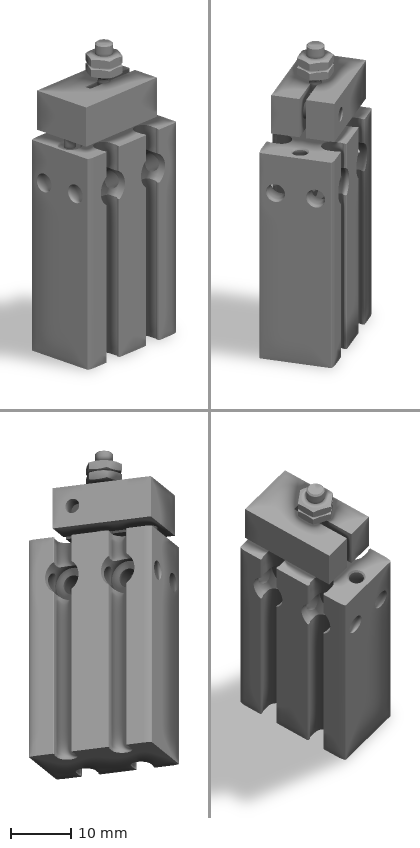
import cadquery as cq
import math

BODY_WIDTH = 13.0
BODY_LENGTH = 22.0
BODY_HEIGHT = 38.0
SIDE_ROUND_RADIUS = 3.5
SIDE_ROUND_LENGTH = 1.3
CORNER_FILLET = 0.2

GROOVE_SPACING = 9.85
GROOVE_RADIUS = 1.75
GROOVE_MOUTH_WIDTH = 3.15
GROOVE_MOUTH_BEVEL = 0.1
GROOVE_LIP_DEPTH = 0.5
GROOVE_SHOULDER_DEPTH = 0.75
GROOVE_CENTRE_DEPTH = 2.15

MOUNT_HEIGHT = 31.0
MOUNT_DIAMETER = 3.3
END_HOLE_SPACING = 7.0
SIDE_HOLE_SPACING = 10.0
COUNTERBORE_DIAMETER = 6.0
COUNTERBORE_DEPTH = 5.0

PORT_Y = 8.55
PORT_DIAMETER = 2.5
PORT_DEPTH = 5.0
RIM_CHAMFER = 0.25

PIN_Y = -8.5
PIN_DIAMETER = 2.0
PIN_INSERTION = 7.0
RECESS_DIAMETER = 3.6
RECESS_DEPTH = RIM_CHAMFER

BLOCK_WIDTH = 11.0
BLOCK_BACK_Y = 7.0
BLOCK_FRONT_Y = -10.55
BLOCK_TOP = 47.0
BLOCK_HEIGHT = 7.1
BLOCK_BOTTOM = BLOCK_TOP - BLOCK_HEIGHT
SLIT_WIDTH = 1.2
SLIT_FRONT_Y = -4.0

SCREW_Y = 3.5
SCREW_Z = (BLOCK_BOTTOM + BLOCK_TOP) / 2
SCREW_DIAMETER = 3.0
SCREW_TIP_DIAMETER = 2.5
SCREW_TIP_LENGTH = 2.15

ROD_DIAMETER = 3.0
ROD_INSERTION = 10.0
ROD_SHOULDER = 45.35
NECK_DIAMETER = 2.0
NECK_FLARE = 0.08
NECK_FLARE_HEIGHT = 0.3
STUD_BOTTOM = 48.1
STUD_TOP = 54.0
STUD_CHAMFER = 0.25

NUT_COUNT = 2
NUT_ACROSS_FLATS = 5.5
NUT_HEIGHT = 1.8
NUT_FACE_DIAMETER = 4.7
NUT_CHAMFER_ANGLE = 20.0
NUT_STACK_TOP = 52.0

AXIS_START = (0, 0, 0)
AXIS_END = (0, 1, 0)


def upright_cylinder(diameter, bottom, top, y=0):
    return cq.Workplane("XY", (0, y, bottom)).circle(diameter / 2).extrude(top - bottom)


def cross_cylinder(diameter, start_x, end_x, y, z):
    return cq.Workplane("YZ", (start_x, y, z)).circle(diameter / 2).extrude(end_x - start_x)


def upright_box(width, front_y, back_y, bottom, top):
    return (
        cq.Workplane("XY", (0, (front_y + back_y) / 2, bottom))
        .rect(width, back_y - front_y)
        .extrude(top - bottom)
    )


def make_bar():
    side = BODY_WIDTH / 2
    end = BODY_LENGTH / 2
    flat_end = end - SIDE_ROUND_LENGTH
    inset = SIDE_ROUND_RADIUS - math.sqrt(SIDE_ROUND_RADIUS**2 - SIDE_ROUND_LENGTH**2)
    bar = (
        cq.Workplane("XY")
        .moveTo(side, -flat_end)
        .lineTo(side, flat_end)
        .radiusArc((side - inset, end), -SIDE_ROUND_RADIUS)
        .lineTo(inset - side, end)
        .radiusArc((-side, flat_end), -SIDE_ROUND_RADIUS)
        .lineTo(-side, -flat_end)
        .radiusArc((inset - side, -end), -SIDE_ROUND_RADIUS)
        .lineTo(side - inset, -end)
        .radiusArc((side, -flat_end), -SIDE_ROUND_RADIUS)
        .close()
        .extrude(BODY_HEIGHT)
    )
    bar = bar.faces(">Y").edges("|Z").fillet(CORNER_FILLET)
    return bar.faces("<Y").edges("|Z").fillet(CORNER_FILLET)


def make_groove():
    """Groove in the +X side, centred on y = 0."""
    side = BODY_WIDTH / 2
    mouth = GROOVE_MOUTH_WIDTH / 2
    rim = mouth + GROOVE_MOUTH_BEVEL
    centre = side - GROOVE_CENTRE_DEPTH
    half_outline = [
        (side, rim),
        (side - GROOVE_MOUTH_BEVEL, mouth),
        (side - GROOVE_LIP_DEPTH, mouth),
        (side - GROOVE_SHOULDER_DEPTH, GROOVE_RADIUS),
        (centre, GROOVE_RADIUS),
    ]
    mirrored_outline = [(x, -y) for x, y in reversed(half_outline)]
    return (
        cq.Workplane("XY")
        .polyline(half_outline)
        .threePointArc((centre - GROOVE_RADIUS, 0), mirrored_outline[0])
        .polyline(mirrored_outline[1:], includeCurrent=True)
        .close()
        .extrude(BODY_HEIGHT)
    )


def cut_grooves(body):
    groove = make_groove()
    for y in (-GROOVE_SPACING / 2, GROOVE_SPACING / 2):
        placed = groove.translate((0, y, 0))
        body = body.cut(placed).cut(placed.mirror("YZ"))
    return body


def cut_mounting_holes(body):
    side = BODY_WIDTH / 2
    for x in (-END_HOLE_SPACING / 2, END_HOLE_SPACING / 2):
        end_hole = (
            cq.Workplane("XZ", (x, BODY_LENGTH / 2, MOUNT_HEIGHT))
            .circle(MOUNT_DIAMETER / 2)
            .extrude(BODY_LENGTH)
        )
        body = body.cut(end_hole)
    for y in (-SIDE_HOLE_SPACING / 2, SIDE_HOLE_SPACING / 2):
        body = body.cut(cross_cylinder(MOUNT_DIAMETER, -side, side, y, MOUNT_HEIGHT))
        counterbore = cross_cylinder(
            COUNTERBORE_DIAMETER, -side, COUNTERBORE_DEPTH - side, y, MOUNT_HEIGHT
        )
        body = body.cut(counterbore).cut(counterbore.mirror("YZ"))
    return body


def cut_top_hole(body, diameter, depth, y):
    """Blind hole in the top face with a 45 degree chamfer on its rim."""
    rim = (
        cq.Workplane("XY", (0, y, BODY_HEIGHT))
        .circle(diameter / 2 + RIM_CHAMFER)
        .workplane(offset=-RIM_CHAMFER)
        .circle(diameter / 2)
        .loft()
    )
    return body.cut(upright_cylinder(diameter, BODY_HEIGHT - depth, BODY_HEIGHT, y)).cut(rim)


def make_guide_pin():
    return upright_cylinder(PIN_DIAMETER, BODY_HEIGHT - PIN_INSERTION, BLOCK_BOTTOM, PIN_Y)


def make_rod():
    radius = ROD_DIAMETER / 2
    neck = NECK_DIAMETER / 2
    bottom = BODY_HEIGHT - ROD_INSERTION
    return (
        cq.Workplane("XZ")
        .moveTo(0, bottom)
        .lineTo(radius, bottom)
        .lineTo(radius, ROD_SHOULDER)
        .lineTo(neck + NECK_FLARE, ROD_SHOULDER)
        .lineTo(neck + NECK_FLARE, BLOCK_TOP)
        .lineTo(neck, BLOCK_TOP + NECK_FLARE_HEIGHT)
        .lineTo(neck, STUD_BOTTOM - (radius - neck))
        .lineTo(radius, STUD_BOTTOM)
        .lineTo(radius, STUD_TOP - STUD_CHAMFER)
        .lineTo(radius - STUD_CHAMFER, STUD_TOP)
        .lineTo(0, STUD_TOP)
        .close()
        .revolve(360, AXIS_START, AXIS_END)
    )


def make_housing(rod, guide_pin):
    housing = cut_mounting_holes(cut_grooves(make_bar()))
    housing = cut_top_hole(housing, PORT_DIAMETER, PORT_DEPTH, PORT_Y)
    housing = cut_top_hole(housing, RECESS_DIAMETER, RECESS_DEPTH, PIN_Y)
    return housing.cut(guide_pin).cut(rod)


def make_screw():
    slit_side = -SLIT_WIDTH / 2
    shank = cross_cylinder(SCREW_DIAMETER, slit_side, BLOCK_WIDTH / 2, SCREW_Y, SCREW_Z)
    tip = cross_cylinder(
        SCREW_TIP_DIAMETER, slit_side - SCREW_TIP_LENGTH, slit_side, SCREW_Y, SCREW_Z
    )
    return shank.union(tip)


def make_clamp_block(rod, screw, guide_pin):
    """Clamp block in one piece with the guide pin below it."""
    block = upright_box(BLOCK_WIDTH, BLOCK_FRONT_Y, BLOCK_BACK_Y, BLOCK_BOTTOM, BLOCK_TOP)
    slit = upright_box(SLIT_WIDTH, SLIT_FRONT_Y, BLOCK_BACK_Y, BLOCK_BOTTOM, BLOCK_TOP)
    tapped_hole = cross_cylinder(SCREW_TIP_DIAMETER, -BLOCK_WIDTH / 2, 0, SCREW_Y, SCREW_Z)
    return block.cut(slit).cut(tapped_hole).cut(screw).cut(rod).union(guide_pin)


def make_nut(bottom):
    """Hexagon nut with corners on the Y axis, chamfered by a cone at both faces."""
    corner = NUT_ACROSS_FLATS / math.sqrt(3)
    bore = ROD_DIAMETER / 2
    face = NUT_FACE_DIAMETER / 2
    chamfer = (corner - face) * math.tan(math.radians(NUT_CHAMFER_ANGLE))
    hexagon = (
        cq.Workplane("XY", (0, 0, bottom))
        .transformed(rotate=(0, 0, 90))
        .polygon(6, 2 * corner)
        .extrude(NUT_HEIGHT)
    )
    chamfered_ring = (
        cq.Workplane("XZ", (0, 0, bottom))
        .moveTo(bore, 0)
        .lineTo(face, 0)
        .lineTo(corner, chamfer)
        .lineTo(corner, NUT_HEIGHT - chamfer)
        .lineTo(face, NUT_HEIGHT)
        .lineTo(bore, NUT_HEIGHT)
        .close()
        .revolve(360, AXIS_START, AXIS_END)
    )
    return hexagon.intersect(chamfered_ring)


guide_pin = make_guide_pin()
rod = make_rod()
screw = make_screw()
housing = make_housing(rod, guide_pin)
clamp_block = make_clamp_block(rod, screw, guide_pin)
nuts = [make_nut(NUT_STACK_TOP - level * NUT_HEIGHT) for level in range(1, NUT_COUNT + 1)]

result = cq.Compound.makeCompound(
    [housing.val(), clamp_block.val(), rod.val(), screw.val(), *[nut.val() for nut in nuts]]
)